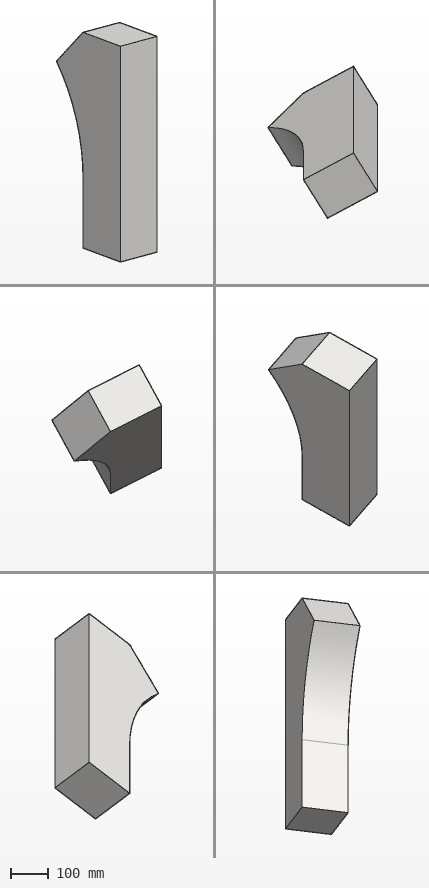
import cadquery as cq
import math

height = 600.08
thickness = 127.0
post_width = 152.4
overhang = 108.08
post_face_height = 193.5

nose_height = height - overhang
arc_rise = nose_height - post_face_height
arc_radius = (arc_rise**2 + overhang**2) / (2 * overhang)
half_angle = math.asin(arc_rise / arc_radius) / 2
arc_middle = (
    -arc_radius * (1 - math.cos(half_angle)),
    post_face_height + arc_radius * math.sin(half_angle),
)


def make_bracket():
    """Extrude the side profile along +Y, with the post face at X = 0."""
    profile = (
        cq.Workplane("XZ")
        .moveTo(0, 0)
        .lineTo(post_width, 0)
        .lineTo(post_width, height)
        .lineTo(0, height)
        .lineTo(-overhang, nose_height)
        .threePointArc(arc_middle, (0, post_face_height))
        .close()
    )
    return profile.extrude(-thickness)


result = make_bracket()